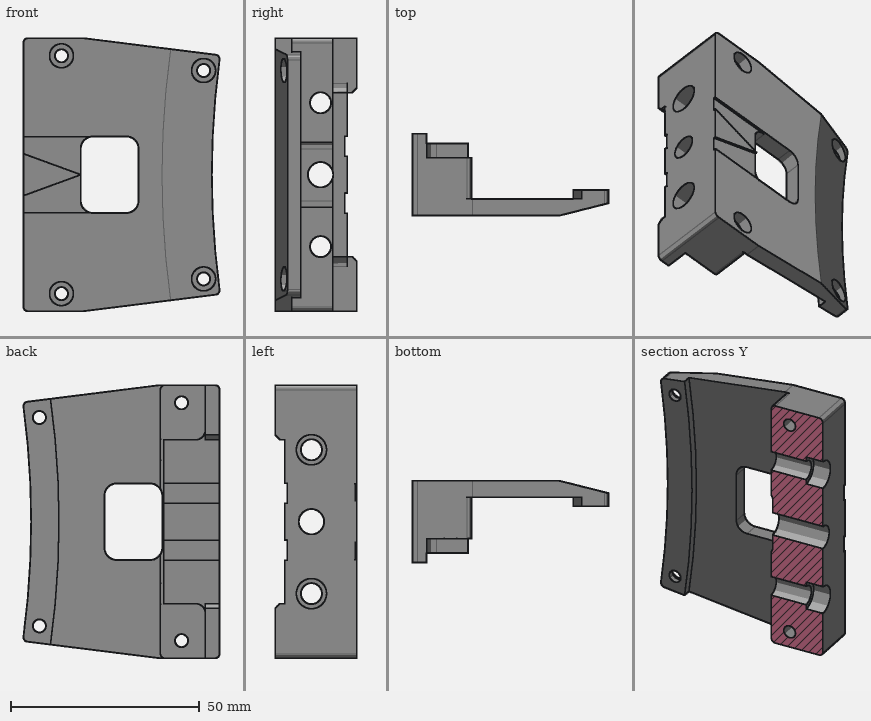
import cadquery as cq
import math

LENGTH = 52.01
DEPTH = 21.72
WIDTH = 72.39
HALF_WIDTH = WIDTH / 2
CORNER_RADIUS = 1.27

PLATE_THICKNESS = 4.44
TAPER_START_X = 15.875
TAPER_ANGLE = 7.125
TIP_ARC_RADIUS = 228.6
TIP_ARC_X = 49.965

LIP_BACK_Y = 6.83
LIP_LENGTH = 7.4
RELIEF_LENGTH = 13.3
RELIEF_ANGLE = 14.0

BODY_LENGTH = 15.7
BODY_DEPTH = 15.36
FLANGE_THICKNESS = 3.81

BLOCK_END_X = 14.75
BLOCK_BACK_Y = 19.17
BLOCK_HALF_WIDTH = 21.7
BLOCK_FILLET = 2.54
GAP_CHAMFER = 1.27

GROOVE_INNER_Z = 4.9
GROOVE_WIDTH = 5.25
GROOVE_DEPTH = 0.635

WINDOW_START_X = 15.24
WINDOW_LENGTH = 15.24
WINDOW_WIDTH = 20.2
WINDOW_RADIUS = 3.175
RECESS_DEPTH = 0.508
ARROW_HALF_WIDTH = 5.57

SCREW_DIAMETER = 3.4
SCREW_HEAD_DIAMETER = 6.35
BODY_SCREW_HEAD_DEPTH = 3.175
TIP_SCREW_HEAD_DEPTH = 5.0
SCREW_HOLES = [(10.1, 31.5, BODY_SCREW_HEAD_DEPTH), (47.75, 27.6, TIP_SCREW_HEAD_DEPTH)]

CROSS_HOLE_Y = 12.065
CENTER_HOLE_DIAMETER = 6.65
SIDE_HOLE_DIAMETER = 5.51
SIDE_HEAD_DIAMETER = 8.01
SIDE_HEAD_DEPTH = 5.08
SIDE_HOLE_Z = 19.05

TIP_CENTER_X = TIP_ARC_X + TIP_ARC_RADIUS


def box(x_range, y_range, z_range):
    """Axis-aligned box from its limits along each axis."""
    size = [end - start for start, end in (x_range, y_range, z_range)]
    corner = (x_range[0], y_range[0], z_range[0])
    return cq.Workplane("XY").box(*size, centered=False).translate(corner)


def extrude_y(sketch, start_y, end_y):
    """Extrude an XZ outline from start_y to end_y."""
    return sketch.extrude(start_y - end_y).translate((0, start_y, 0))


def tip_cylinder(radius, start_y, end_y):
    """Cylinder along Y around the centre of the tip arc."""
    return extrude_y(cq.Workplane("XZ").center(TIP_CENTER_X, 0).circle(radius), start_y, end_y)


def tapered_outline(end_y):
    """Plate outline with a concave tip, from the front face back to end_y."""
    far_x = LENGTH + CORNER_RADIUS
    far_half_width = HALF_WIDTH - (far_x - TAPER_START_X) * math.tan(math.radians(TAPER_ANGLE))
    outline = (
        cq.Workplane("XZ")
        .moveTo(0, -HALF_WIDTH)
        .lineTo(TAPER_START_X, -HALF_WIDTH)
        .lineTo(far_x, -far_half_width)
        .lineTo(far_x, far_half_width)
        .lineTo(TAPER_START_X, HALF_WIDTH)
        .lineTo(0, HALF_WIDTH)
        .close()
    )
    blank = extrude_y(outline, 0, end_y).cut(tip_cylinder(TIP_ARC_RADIUS, 0, end_y))
    tip_corners = cq.selectors.BoxSelector((TIP_ARC_X, 0, -HALF_WIDTH), (far_x, end_y, HALF_WIDTH))
    return blank.edges("|Y").edges(tip_corners).fillet(CORNER_RADIUS)


def make_plate():
    """Tapered plate with a curved lip at the back of the tip."""
    behind_plate = box((0, LENGTH), (PLATE_THICKNESS, LIP_BACK_Y), (-HALF_WIDTH, HALF_WIDTH))
    lip_zone = tip_cylinder(TIP_ARC_RADIUS + LIP_LENGTH, PLATE_THICKNESS, LIP_BACK_Y)
    return tapered_outline(LIP_BACK_Y).cut(behind_plate.cut(lip_zone))


def make_tip_relief():
    """Cone that thins the tip from the front, starting on an arc across the plate."""
    base_radius = TIP_ARC_RADIUS + RELIEF_LENGTH
    apex_y = base_radius * math.tan(math.radians(RELIEF_ANGLE))
    profile = cq.Workplane("XY").polyline([(0, 0), (base_radius, 0), (0, apex_y)]).close()
    return profile.revolve(axisStart=(0, 0, 0), axisEnd=(0, 1, 0)).translate((TIP_CENTER_X, 0, 0))


def make_body():
    """Solid bar behind the plate, rounded at its +X corners."""
    plate_part = box((0, BODY_LENGTH), (0, PLATE_THICKNESS), (-HALF_WIDTH, HALF_WIDTH))
    bar = box((0, BODY_LENGTH), (PLATE_THICKNESS, BODY_DEPTH), (-HALF_WIDTH, HALF_WIDTH))
    return bar.edges("|Y and >X").fillet(CORNER_RADIUS).union(plate_part)


def make_flange():
    """End flange with a chamfered gap the width of the block."""
    gap_mouth = BLOCK_HALF_WIDTH + GAP_CHAMFER
    gap = (
        cq.Workplane("YZ")
        .polyline([
            (BLOCK_BACK_Y, -BLOCK_HALF_WIDTH),
            (DEPTH - GAP_CHAMFER, -BLOCK_HALF_WIDTH),
            (DEPTH, -gap_mouth),
            (DEPTH, gap_mouth),
            (DEPTH - GAP_CHAMFER, BLOCK_HALF_WIDTH),
            (BLOCK_BACK_Y, BLOCK_HALF_WIDTH),
        ])
        .close()
        .extrude(FLANGE_THICKNESS)
    )
    flange = box((0, FLANGE_THICKNESS), (0, DEPTH), (-HALF_WIDTH, HALF_WIDTH))
    return flange.cut(gap)


def make_block():
    """Raised block on the body, blended into the flange by concave fillets."""
    root_half_width = BLOCK_HALF_WIDTH + BLOCK_FILLET
    fillet_end_x = FLANGE_THICKNESS + BLOCK_FILLET
    outline = (
        cq.Workplane("XZ")
        .moveTo(FLANGE_THICKNESS, -root_half_width)
        .radiusArc((fillet_end_x, -BLOCK_HALF_WIDTH), BLOCK_FILLET)
        .lineTo(BLOCK_END_X, -BLOCK_HALF_WIDTH)
        .lineTo(BLOCK_END_X, BLOCK_HALF_WIDTH)
        .lineTo(fillet_end_x, BLOCK_HALF_WIDTH)
        .radiusArc((FLANGE_THICKNESS, root_half_width), BLOCK_FILLET)
        .close()
    )
    return extrude_y(outline, BODY_DEPTH, BLOCK_BACK_Y)


def make_groove(side):
    """Shallow groove along X in the back of the block and flange; side is +1 or -1 along Z."""
    z_limits = sorted((side * GROOVE_INNER_Z, side * (GROOVE_INNER_Z + GROOVE_WIDTH)))
    return box((0, BLOCK_END_X), (BLOCK_BACK_Y - GROOVE_DEPTH, BLOCK_BACK_Y), z_limits)


def make_window():
    """Rounded rectangular window through the plate."""
    window = box(
        (WINDOW_START_X, WINDOW_START_X + WINDOW_LENGTH),
        (0, DEPTH),
        (-WINDOW_WIDTH / 2, WINDOW_WIDTH / 2),
    )
    return window.edges("|Y").fillet(WINDOW_RADIUS)


def make_recess():
    """Shallow recess from the -X side to the window, leaving a raised arrow."""
    end_x = WINDOW_START_X + WINDOW_RADIUS
    field = box((0, end_x), (0, RECESS_DEPTH), (-WINDOW_WIDTH / 2, WINDOW_WIDTH / 2))
    arrow = (
        cq.Workplane("XZ")
        .polyline([(0, -ARROW_HALF_WIDTH), (WINDOW_START_X, 0), (0, ARROW_HALF_WIDTH)])
        .close()
    )
    return field.cut(extrude_y(arrow, 0, RECESS_DEPTH))


def make_screw_hole(x, z, head_depth):
    """Counterbored screw hole along Y."""
    shank = extrude_y(cq.Workplane("XZ").center(x, z).circle(SCREW_DIAMETER / 2), 0, DEPTH)
    head = cq.Workplane("XZ").center(x, z).circle(SCREW_HEAD_DIAMETER / 2)
    return shank.union(extrude_y(head, 0, head_depth))


def cross_cylinder(diameter, length, z):
    """Cylinder along X from the -X face at the cross-hole height."""
    return cq.Workplane("YZ").center(CROSS_HOLE_Y, z).circle(diameter / 2).extrude(length)


body = make_body().union(make_flange()).union(make_block())
result = make_plate().union(body).cut(make_tip_relief())
result = result.edges("|Y and <X").edges(">Z or <Z").fillet(CORNER_RADIUS)
result = result.cut(make_window()).cut(make_recess())
result = result.cut(cross_cylinder(CENTER_HOLE_DIAMETER, BODY_LENGTH, 0))

for side in (-1, 1):
    result = result.cut(make_groove(side))
    result = result.cut(cross_cylinder(SIDE_HOLE_DIAMETER, BODY_LENGTH, side * SIDE_HOLE_Z))
    result = result.cut(cross_cylinder(SIDE_HEAD_DIAMETER, SIDE_HEAD_DEPTH, side * SIDE_HOLE_Z))
    for hole_x, hole_z, head_depth in SCREW_HOLES:
        result = result.cut(make_screw_hole(hole_x, side * hole_z, head_depth))